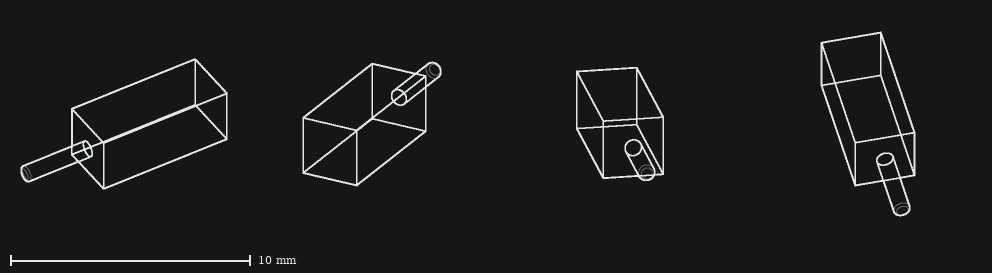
import cadquery as cq

total_length = 9.12
body_side = 2.54
body_length = 6.03
pin_diameter = 0.7
tip_fillet = 0.1

pin_length = total_length - body_length

body = cq.Workplane("XZ").rect(body_side, body_side).extrude(-body_length)

pin = (
    cq.Workplane("XZ")
    .circle(pin_diameter / 2)
    .extrude(pin_length)
    .faces("<Y")
    .edges()
    .fillet(tip_fillet)
)

result = body.union(pin)